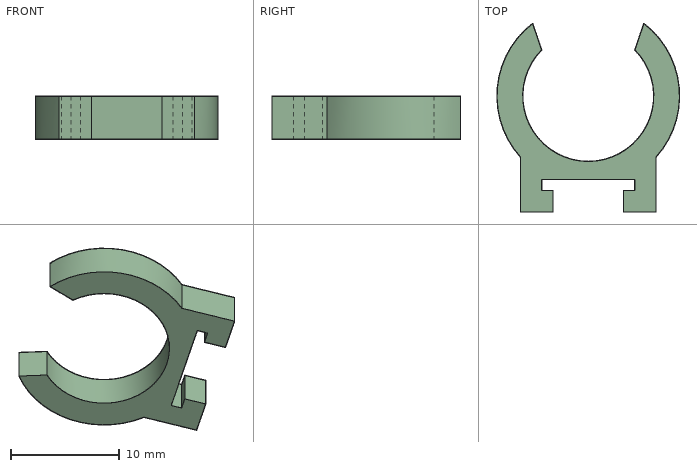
import cadquery as cq
import math

thickness = 4.0
total_length = 17.42
outer_radius = 8.43
inner_radius = 6.03

mouth_outer_half = 5.12
mouth_inner_half = 4.29

foot_width = 12.5
slot_width = 8.57
throat_width = 6.48
lip_height = 2.02
slot_height = 3.01


def height_on_circle(radius, x):
    """Distance from the X axis to the circle at the given x."""
    return math.sqrt(radius**2 - x**2)


outer_tip_y = height_on_circle(outer_radius, mouth_outer_half)
inner_tip_y = height_on_circle(inner_radius, mouth_inner_half)
foot_y = outer_tip_y - total_length
foot_half = foot_width / 2
shoulder_y = -height_on_circle(outer_radius, foot_half)


def make_clip_body():
    """Open ring standing on a solid rectangular foot."""
    return (
        cq.Workplane("XY")
        .moveTo(-mouth_inner_half, inner_tip_y)
        .lineTo(-mouth_outer_half, outer_tip_y)
        .threePointArc((-outer_radius, 0), (-foot_half, shoulder_y))
        .lineTo(-foot_half, foot_y)
        .lineTo(foot_half, foot_y)
        .lineTo(foot_half, shoulder_y)
        .threePointArc((outer_radius, 0), (mouth_outer_half, outer_tip_y))
        .lineTo(mouth_inner_half, inner_tip_y)
        .threePointArc((0, -inner_radius), (-mouth_inner_half, inner_tip_y))
        .close()
        .extrude(thickness)
    )


def make_slot_box(width, bottom, top):
    """Centred box through the full thickness, placed by heights above the foot."""
    return (
        cq.Workplane("XY")
        .box(width, top - bottom, thickness, centered=(True, False, False))
        .translate((0, foot_y + bottom, 0))
    )


throat = make_slot_box(throat_width, 0, slot_height)
wide_slot = make_slot_box(slot_width, lip_height, slot_height)

result = make_clip_body().cut(throat).cut(wide_slot)